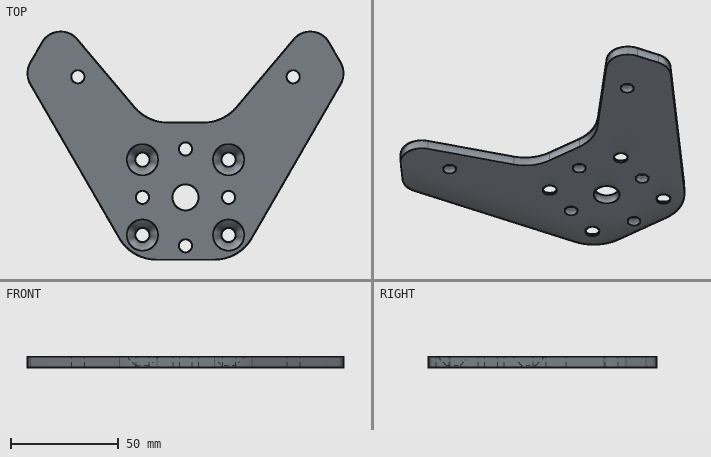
import cadquery as cq
import math

thickness = 5.0
flank_angle = 60.0
base_half_width = 25.0
shoulder_half_width = 75.0
base_y = -29.0
arm_end_length = 30.97
notch_half_width = 17.7
notch_y = 34.8

base_radius = 20.0
arm_radius = 10.0
notch_radius = 20.0

small_hole_diameter = 6.0
center_hole_diameter = 12.0
arm_hole_x = 50.0
arm_hole_y = 56.0
side_hole_x = 20.0
axis_hole_y = 22.5

screw_x = 20.0
screw_y = 17.5
screw_hole_diameter = 6.5
countersink_diameter = 14.5
countersink_angle = 90.0


def round_corners(plate, radius, corners):
    """Round the vertical edges that stand on the given (x, y) corners."""
    for x, y in corners:
        nearest = cq.selectors.NearestToPointSelector((x, y, thickness / 2))
        plate = plate.edges("|Z").edges(nearest).fillet(radius)
    return plate


def both_sides(x, y):
    """Return a point and its mirror image across the YZ plane."""
    return [(x, y), (-x, y)]


def make_plate():
    """Build the V-shaped plate with all its outline corners rounded."""
    flank = math.radians(flank_angle)
    shoulder_y = base_y + (shoulder_half_width - base_half_width) * math.tan(flank)
    tip_x = shoulder_half_width - arm_end_length * math.cos(flank)
    tip_y = shoulder_y + arm_end_length * math.sin(flank)

    right_half = [
        (base_half_width, base_y),
        (shoulder_half_width, shoulder_y),
        (tip_x, tip_y),
        (notch_half_width, notch_y),
    ]
    left_half = [(-x, y) for x, y in reversed(right_half)]
    plate = cq.Workplane("XY").polyline(right_half + left_half).close().extrude(thickness)

    plate = round_corners(plate, base_radius, both_sides(base_half_width, base_y))
    plate = round_corners(plate, arm_radius, both_sides(shoulder_half_width, shoulder_y))
    plate = round_corners(plate, arm_radius, both_sides(tip_x, tip_y))
    return round_corners(plate, notch_radius, both_sides(notch_half_width, notch_y))


def drill_plain_holes(plate):
    """Drill the central hole and the small holes through the plate."""
    small_holes = both_sides(arm_hole_x, arm_hole_y) + both_sides(side_hole_x, 0)
    small_holes += [(0, axis_hole_y), (0, -axis_hole_y)]
    top = plate.faces(">Z").workplane(origin=(0, 0, thickness))
    plate = top.hole(center_hole_diameter)
    top = plate.faces(">Z").workplane(origin=(0, 0, thickness))
    return top.pushPoints(small_holes).hole(small_hole_diameter)


def drill_countersunk_holes(plate):
    """Drill the four screw holes, countersunk from the top face."""
    screws = both_sides(screw_x, screw_y) + both_sides(screw_x, -screw_y)
    top = plate.faces(">Z").workplane(origin=(0, 0, thickness))
    return top.pushPoints(screws).cskHole(
        screw_hole_diameter, countersink_diameter, countersink_angle
    )


result = drill_countersunk_holes(drill_plain_holes(make_plate()))